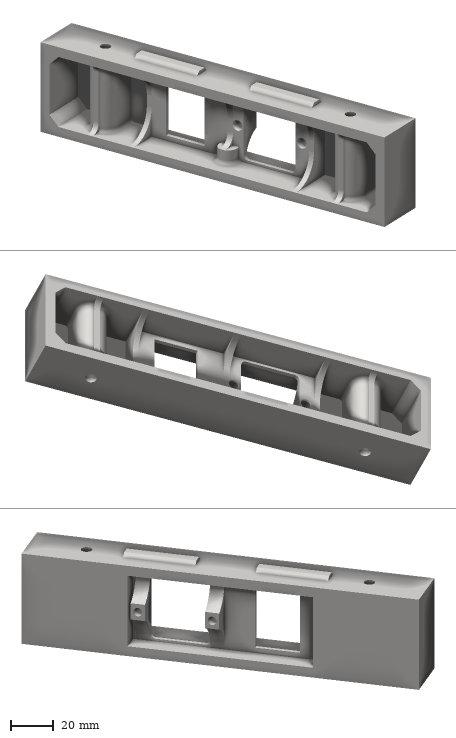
import cadquery as cq
import math

length = 193.3
depth = 26.0
body_height = 46.0
wall = 5.0
corner_chamfer = 5.0
skin = 2.0

front_y = -depth / 2
back_y = depth / 2
floor_z = wall
ceiling_z = body_height - wall
middle_z = body_height / 2
pocket_height = ceiling_z - floor_z

rib_radius = 15.0
panel_front_y = front_y + rib_radius
panel_back_y = panel_front_y + skin
panel_half_length = 47.0
bay_back_y = back_y - skin
back_pocket_half_length = panel_half_length - skin

side_rib_width = 2.7
middle_rib_width = 3.0

column_x = 68.8
column_width = 14.5
column_hole_diameter = 5.5
column_rib_width = 2.9
column_rib_radius = 5.0
base_fillet = 2.0

post_diameter = 10.0
post_height = 7.2
post_rib_radius = 6.4

opening_x = 22.0
opening_length = 29.2
opening_height = 33.2
opening_corner = 2.5
window_x = -25.3
window_length = 21.6
window_height = 30.5
screw_spacing = 36.1
screw_diameter = 4.3
screw_mouth_diameter = 5.5
screw_block_width = screw_spacing - opening_length

rail_x = 32.3
rail_length = 35.2
rail_height = 2.0
rail_base_width = 8.1
rail_top_width = 4.3


def box(x_min, x_max, y_min, y_max, z_min, z_max):
    """Block between the given limits."""
    block = cq.Workplane("XY").box(x_max - x_min, y_max - y_min, z_max - z_min, centered=False)
    return block.translate((x_min, y_min, z_min))


def front_plane(x, y):
    """Sketch plane at mid height whose normal points to +Y; its local Y axis points to +Z."""
    return cq.Workplane(cq.Plane(origin=(x, y, middle_z), xDir=(-1, 0, 0), normal=(0, 1, 0)))


def arc_rib(x, width, radius, foot_y, foot_z, direction):
    """Concave quarter-arc rib; direction is +1 on the floor and -1 under the ceiling."""
    back = foot_y + radius
    tip_z = foot_z + direction * radius
    bow = radius * math.sqrt(0.5)
    middle = (foot_y + bow, tip_z - direction * bow)
    profile = (
        cq.Workplane("YZ", origin=(x - width / 2, 0, 0))
        .moveTo(foot_y, foot_z)
        .threePointArc(middle, (back, tip_z))
        .lineTo(back + skin / 2, tip_z)
        .lineTo(back + skin / 2, foot_z - direction * skin)
        .lineTo(foot_y, foot_z - direction * skin)
        .close()
    )
    return profile.extrude(width)


def frame():
    """Outer block with the front pocket, the panel and the back pocket."""
    block = box(-length / 2, length / 2, front_y, back_y, 0, body_height)
    bays = (
        front_plane(0, front_y)
        .rect(length - 2 * wall, pocket_height)
        .extrude(bay_back_y - front_y)
        .edges("|Y")
        .chamfer(corner_chamfer)
    )
    panel_block = box(-panel_half_length, panel_half_length, panel_front_y, back_y, 0, body_height)
    back_pocket = box(
        -back_pocket_half_length, back_pocket_half_length, panel_back_y, back_y, floor_z, ceiling_z
    )
    return block.cut(bays).union(panel_block).cut(back_pocket)


def column(x):
    """Round-fronted column that joins the back of an end bay."""
    half = column_width / 2
    return (
        cq.Workplane("XY", origin=(x, 0, floor_z))
        .moveTo(-half, bay_back_y)
        .lineTo(-half, 0)
        .threePointArc((0, -half), (half, 0))
        .lineTo(half, bay_back_y)
        .close()
        .extrude(pocket_height)
    )


def fillet_base(body, x, half_width, y_min, y_max, z):
    """Round the foot of a column or post where it meets the floor or ceiling."""
    margin = 0.2
    foot_edges = cq.selectors.BoxSelector(
        (x - half_width - margin, y_min - margin, z - margin),
        (x + half_width + margin, y_max + margin, z + margin),
        boundingbox=True,
    )
    back_edges = cq.selectors.BoxSelector(
        (x - length, y_max - margin, z - margin), (x + length, y_max + margin, z + margin), boundingbox=True
    )
    return body.edges(foot_edges - back_edges).fillet(base_fillet)


def column_rib(x):
    """Narrow rib along the front of a column, flared at both ends."""
    face_y = front_y + column_rib_radius
    left, right = x - column_rib_width / 2, x + column_rib_width / 2
    rib = box(left, right, face_y, 0, floor_z, ceiling_z)
    for z, direction in ((floor_z, 1), (ceiling_z, -1)):
        rib = rib.union(arc_rib(x, column_rib_width, column_rib_radius, front_y, z, direction))
    return rib


def screw_block(x):
    """Block behind the panel around a screw hole; concave arcs thin it toward floor and ceiling."""
    reach = back_y - panel_back_y
    rise = math.sqrt(rib_radius**2 - (rib_radius - reach) ** 2)
    half_rise = math.sqrt(rib_radius**2 - (rib_radius - reach / 2) ** 2)
    middle_y = panel_back_y + reach / 2
    return (
        cq.Workplane("YZ", origin=(x - screw_block_width / 2, 0, 0))
        .moveTo(panel_back_y, floor_z)
        .threePointArc((middle_y, floor_z + half_rise), (back_y, floor_z + rise))
        .lineTo(back_y, ceiling_z - rise)
        .threePointArc((middle_y, ceiling_z - half_rise), (panel_back_y, ceiling_z))
        .lineTo(panel_back_y - skin / 2, ceiling_z)
        .lineTo(panel_back_y - skin / 2, floor_z)
        .close()
        .extrude(screw_block_width)
    )


def screw_hole(x):
    """Through hole with a countersunk mouth on the front of the panel."""
    mouth_depth = (screw_mouth_diameter - screw_diameter) / 2
    hole = front_plane(x, panel_front_y).circle(screw_diameter / 2).extrude(back_y - panel_front_y)
    mouth = (
        front_plane(x, panel_front_y)
        .circle(screw_mouth_diameter / 2)
        .workplane(offset=mouth_depth)
        .circle(screw_diameter / 2)
        .loft()
    )
    return hole.union(mouth)


def rail(x):
    """Trapezoidal rail on the top face."""
    return (
        cq.Workplane("YZ", origin=(x - rail_length / 2, 0, body_height))
        .moveTo(-rail_base_width / 2, 0)
        .lineTo(rail_base_width / 2, 0)
        .lineTo(rail_top_width / 2, rail_height)
        .lineTo(-rail_top_width / 2, rail_height)
        .close()
        .extrude(rail_length)
    )


result = frame()

for x in (-column_x, column_x):
    result = result.union(column(x))
    for z in (floor_z, ceiling_z):
        result = fillet_base(result, x, column_width / 2, -column_width / 2, bay_back_y, z)
    result = result.union(column_rib(x))

post = cq.Workplane("XY", origin=(0, 0, floor_z)).circle(post_diameter / 2).extrude(post_height)
post = post.intersect(box(-length, length, front_y, panel_back_y, 0, body_height))
result = result.union(post)
result = fillet_base(result, 0, post_diameter / 2, -post_diameter / 2, panel_front_y, floor_z)

side_rib_x = panel_half_length - side_rib_width / 2
for x in (-side_rib_x, side_rib_x):
    result = result.union(arc_rib(x, side_rib_width, rib_radius, front_y, floor_z, 1))
    result = result.union(arc_rib(x, side_rib_width, rib_radius, front_y, ceiling_z, -1))
result = result.union(arc_rib(0, middle_rib_width, rib_radius, front_y, ceiling_z, -1))
post_rib_foot_y = panel_front_y - post_rib_radius
post_top_z = floor_z + post_height
result = result.union(arc_rib(0, middle_rib_width, post_rib_radius, post_rib_foot_y, post_top_z, 1))

screw_left_x = opening_x - screw_spacing / 2
screw_right_x = opening_x + screw_spacing / 2
for x in (screw_left_x, screw_right_x):
    result = result.union(screw_block(x))

panel_thickness = panel_back_y - panel_front_y
opening = front_plane(opening_x, panel_front_y).rect(opening_length, opening_height).extrude(panel_thickness)
result = result.cut(opening.edges("|Y").fillet(opening_corner))
window = front_plane(window_x, panel_front_y).rect(window_length, window_height).extrude(panel_thickness)
result = result.cut(window)

for x in (screw_left_x, screw_right_x):
    result = result.cut(screw_hole(x))
for x in (-column_x, column_x):
    result = result.cut(cq.Workplane("XY").center(x, 0).circle(column_hole_diameter / 2).extrude(body_height))

for x in (-rail_x, rail_x):
    result = result.union(rail(x))